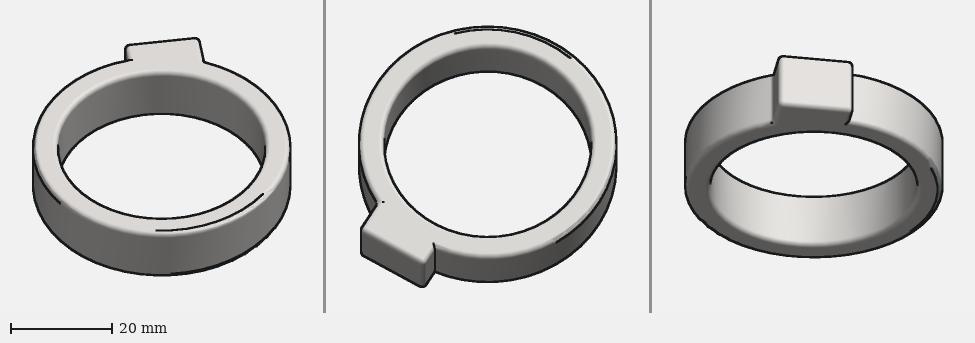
import cadquery as cq
import math

bore_diameter = 41.0
outer_diameter = 51.0
height = 12.0

edge_radius = 1.0

boss_length = 14.95
boss_offset = 4.45
boss_reach = 29.65
boss_turn = 26.6

boss_root = bore_diameter / 2

corner_x = boss_offset + boss_length / 2
corner_y = math.sqrt((outer_diameter / 2) ** 2 - corner_x ** 2)


def make_cylinder(diameter):
    """Upright cylinder of the full height, centred on the origin."""
    return cq.Workplane("XY").cylinder(height, diameter / 2)


def make_boss():
    """Boss block with rounded upright outer corners, before it is turned."""
    depth = boss_reach - boss_root
    block = cq.Workplane("XY").box(boss_length, depth, height)
    block = block.edges("|Z and >Y").fillet(edge_radius)
    return block.translate((boss_offset, boss_root + depth / 2, 0))


def make_ring():
    """Bored ring with its boss, rounded on both end faces and in the far boss corner."""
    body = make_cylinder(outer_diameter).union(make_boss())
    body = body.cut(make_cylinder(bore_diameter))
    body = body.faces("|Z").edges().fillet(edge_radius)
    corner_edge = cq.NearestToPointSelector((corner_x, corner_y, 0))
    body = body.edges(corner_edge).fillet(edge_radius)
    return body.rotate((0, 0, 0), (0, 0, 1), boss_turn)


ring = make_ring()

result = cq.Compound.makeCompound([ring.val()])